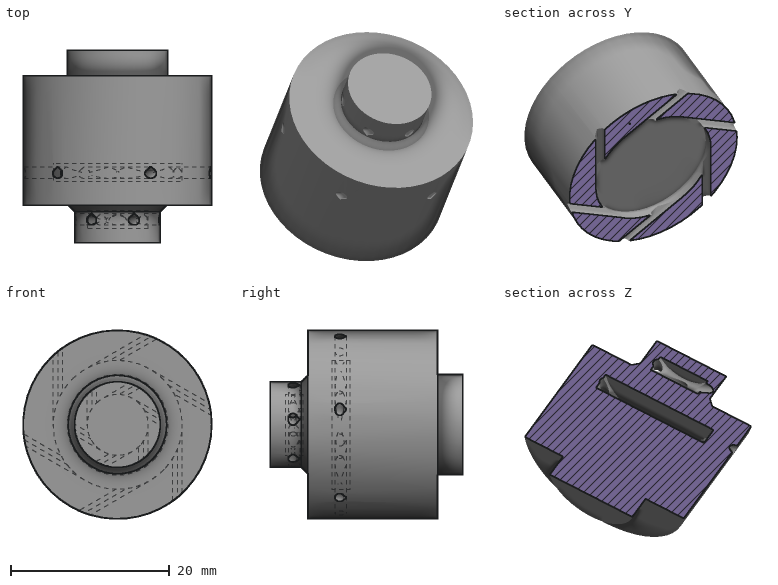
import cadquery as cq
import math

drum_radius = 23.8125 / 2
drum_length = 16.36
boss_radius = 12.7 / 2
boss_length = 3.2
neck_radius = 5.41
collar_size = 0.8
total_length = 24.32
back_end_y = drum_length + boss_length
neck_end_y = back_end_y - total_length

holes_per_ring = 6
hole_radius = 0.6
peak_height = hole_radius * math.sqrt(2)
shoulder = hole_radius / math.sqrt(2)

drum_ring_y = 4.02
drum_ring_offset = 7.53
neck_ring_y = -1.88
neck_ring_offset = 3.24

chamber_margin = 0.4


def make_body():
    """Revolve the stepped half profile about the Y axis."""
    profile = (
        cq.Workplane("XY")
        .moveTo(0, neck_end_y)
        .lineTo(neck_radius, neck_end_y)
        .lineTo(neck_radius, -collar_size)
        .lineTo(neck_radius + collar_size, 0)
        .lineTo(drum_radius, 0)
        .lineTo(drum_radius, drum_length)
        .lineTo(boss_radius, drum_length)
        .lineTo(boss_radius, back_end_y)
        .lineTo(0, back_end_y)
        .close()
    )
    return profile.revolve(360, (0, 0, 0), (0, 1, 0))


def make_hole(axis_offset, ring_y, outer_radius):
    """Teardrop prism along +Z, from the plane of the part axis to beyond the outer wall."""
    return (
        cq.Workplane("XY")
        .center(-axis_offset, ring_y)
        .moveTo(0, peak_height)
        .lineTo(-shoulder, shoulder)
        .threePointArc((0, -hole_radius), (shoulder, shoulder))
        .close()
        .extrude(outer_radius)
    )


def make_chamber(axis_offset, ring_y):
    """Closed round chamber whose wall is tangent to the outer side of the holes."""
    front_y = ring_y - hole_radius - chamber_margin
    back_y = ring_y + peak_height + chamber_margin
    return (
        cq.Workplane("XZ", origin=(0, back_y, 0))
        .circle(axis_offset + hole_radius)
        .extrude(back_y - front_y)
    )


def cut_swirl_ring(body, axis_offset, ring_y, outer_radius):
    """Cut a chamber and its evenly spaced tangential holes."""
    body = body.cut(make_chamber(axis_offset, ring_y))
    hole = make_hole(axis_offset, ring_y, outer_radius)
    for index in range(holes_per_ring):
        angle = index * 360 / holes_per_ring
        body = body.cut(hole.rotate((0, 0, 0), (0, 1, 0), angle))
    return body


part = make_body()
part = cut_swirl_ring(part, drum_ring_offset, drum_ring_y, drum_radius)
part = cut_swirl_ring(part, neck_ring_offset, neck_ring_y, neck_radius)
result = part.solids()